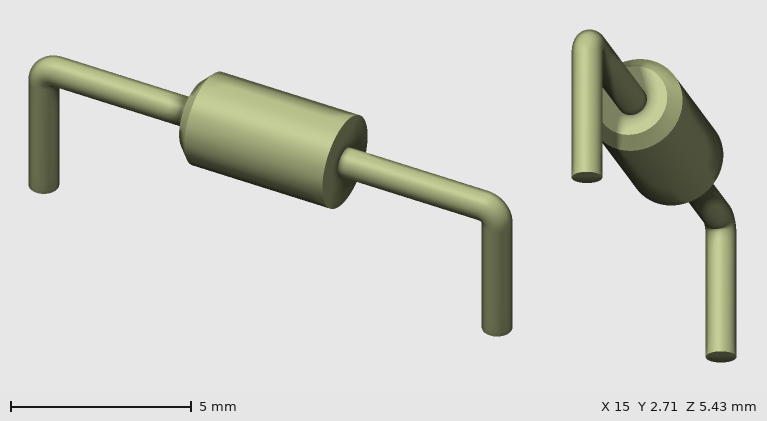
import cadquery as cq

span = 14.99
total_height = 5.43
housing_diameter = 2.71
housing_length = 4.65
chamfer = 0.35
wire_diameter = 0.85
bend_radius = 0.43

wire_radius = wire_diameter / 2
leg_x = span / 2 - wire_radius
bend_x = leg_x - bend_radius
run_length = bend_x - housing_length / 2
tip_z = housing_diameter / 2 - total_height
leg_length = -bend_radius - tip_z


def make_housing():
    """Round housing along X with one chamfered end."""
    cylinder = (
        cq.Workplane("YZ", origin=(-housing_length / 2, 0, 0))
        .circle(housing_diameter / 2)
        .extrude(housing_length)
    )
    return cylinder.faces("<X").chamfer(chamfer)


def make_lead(side):
    """Bent wire lead from one housing end face; side is -1 for -X and +1 for +X."""
    run = (
        cq.Workplane("YZ", origin=(side * housing_length / 2, 0, 0))
        .circle(wire_radius)
        .extrude(side * run_length)
    )
    elbow = (
        cq.Workplane("YZ", origin=(side * bend_x, 0, 0))
        .circle(wire_radius)
        .revolve(90, (0, -bend_radius, 0), (side, -bend_radius, 0))
    )
    leg = (
        cq.Workplane("XY", origin=(side * leg_x, 0, tip_z))
        .circle(wire_radius)
        .extrude(leg_length)
    )
    return run.union(elbow).union(leg)


housing = make_housing()
leads = [make_lead(side) for side in (-1, 1)]

result = cq.Compound.makeCompound([housing.val(), *[lead.val() for lead in leads]])